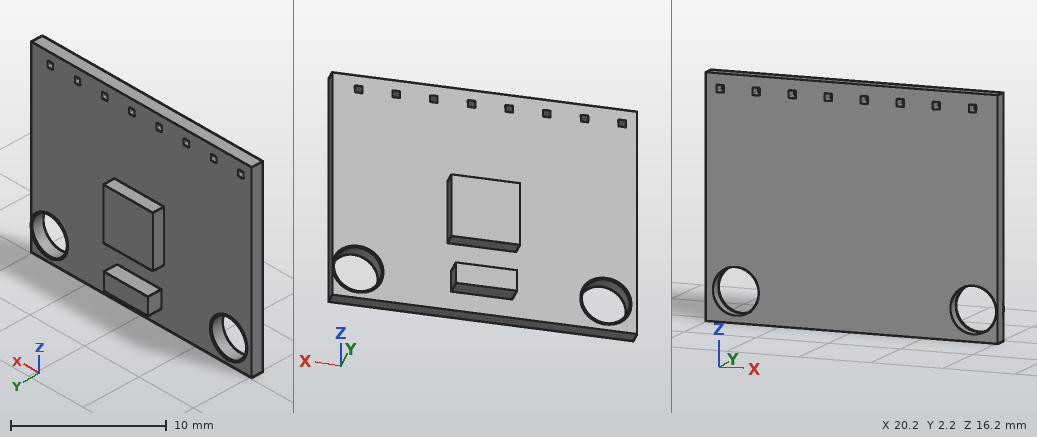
import cadquery as cq

board_width = 20.25
board_height = 16.25
board_thickness = 1.0

mount_hole_diameter = 3.17
pad_diameter = 3.38
pad_bore_diameter = 3.27
pad_thickness = 0.05
mount_hole_left_x = 2.09
mount_hole_spacing = 16.47
mount_hole_z = 2.09
mount_hole_centers = [
    (mount_hole_left_x, mount_hole_z),
    (mount_hole_left_x + mount_hole_spacing, mount_hole_z),
]

pin_count = 8
pin_pitch = 2.5
pin_hole_side = 0.5
pin_corner_radius = 0.1
pin_first_x = 1.0
pin_top_margin = 1.0
pin_z = board_height - pin_top_margin
pin_centers = [(pin_first_x + i * pin_pitch, pin_z) for i in range(pin_count)]

chip_width = 4.55
chip_height = 4.5
chip_thickness = 1.0
chip_x = 10.33
chip_z = 7.1

block_width = 4.05
block_height = 1.5
block_thickness = 1.2
block_z = 2.1


def component(width, height, thickness, center_x, center_z):
    """Rectangular body standing on the component face of the board."""
    body = cq.Workplane("XY").box(width, thickness, height, centered=(True, False, True))
    return body.translate((center_x, board_thickness, center_z))


def cylinders(centers, diameter, start_y, length):
    """Cylinders along +Y at the given (x, z) centers."""
    plane = cq.Workplane("XZ", origin=(0, start_y, 0))
    return plane.pushPoints(centers).circle(diameter / 2).extrude(-length)


def pin_holes():
    """Rounded square prisms through the board, one for each pin."""
    plane = cq.Workplane("XZ")
    prisms = plane.pushPoints(pin_centers).rect(pin_hole_side, pin_hole_side).extrude(-board_thickness)
    return prisms.edges("|Y").fillet(pin_corner_radius)


board = cq.Workplane("XY").box(board_width, board_thickness, board_height, centered=False)
pads = cylinders(mount_hole_centers, pad_diameter, board_thickness, pad_thickness)
pad_bores = cylinders(mount_hole_centers, pad_bore_diameter, board_thickness, pad_thickness)
mount_holes = cylinders(mount_hole_centers, mount_hole_diameter, 0, board_thickness)
chip = component(chip_width, chip_height, chip_thickness, chip_x, chip_z)
block = component(block_width, block_height, block_thickness, chip_x, block_z)

result = board.union(pads).cut(pad_bores).cut(mount_holes).cut(pin_holes()).union(chip).union(block)